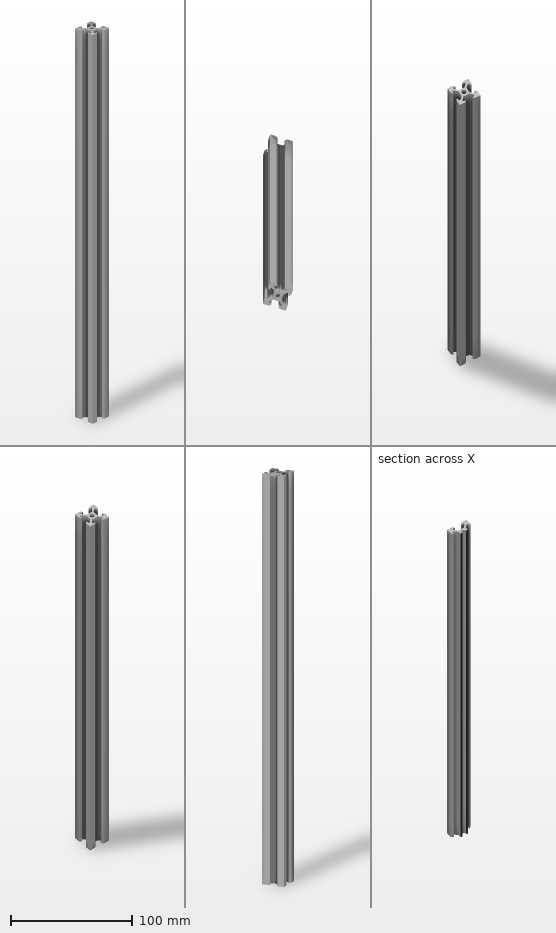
import cadquery as cq
import math

length = 350.0
side = 20.0
mouth_width = 9.0
neck_width = 6.3
lip_thickness = 1.8
cavity_width = 11.0
web_thickness = 1.5
core_width = 7.7
bore_diameter = 4.2
notch_depth = 0.2

face = side / 2
neck_start = face - (mouth_width - neck_width) / 2
lip_back = face - lip_thickness
slot_floor = core_width / 2

web_offset = web_thickness / 2 * math.sqrt(2)
cavity_shoulder = cavity_width / 2 + web_offset
floor_half_width = slot_floor - web_offset


def slot_cutter():
    """Full-length T-slot with a V mouth and a notched floor, opening toward +Y."""
    right_side = [
        (mouth_width / 2, face),
        (neck_width / 2, neck_start),
        (neck_width / 2, lip_back),
        (cavity_width / 2, lip_back),
        (cavity_width / 2, cavity_shoulder),
        (floor_half_width, slot_floor),
        (notch_depth, slot_floor),
    ]
    left_side = [(-x, y) for x, y in reversed(right_side)]
    notch_tip = [(0, slot_floor - notch_depth)]
    return cq.Workplane("XY").polyline(right_side + notch_tip + left_side).close().extrude(length)


result = cq.Workplane("XY").rect(side, side).circle(bore_diameter / 2).extrude(length)

for angle in (0, 90, 180, 270):
    result = result.cut(slot_cutter().rotate((0, 0, 0), (0, 0, 1), angle))